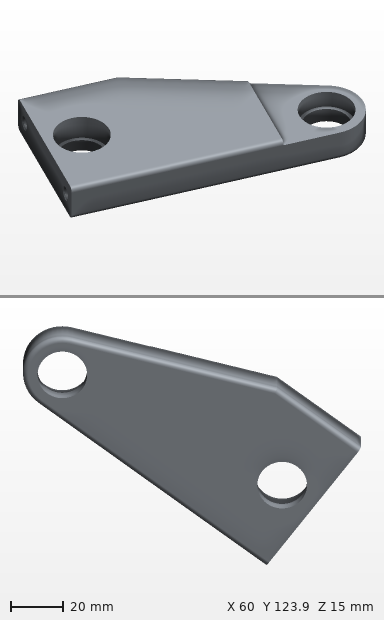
import cadquery as cq
import math

width = 60.0
length = 123.9
thickness = 15.0
straight_length = 40.1
edge_radius = 2.0

lug_radius = 15.0
lug_height = 13.0
step_y = 86.0
lug_inset = 0.1
lug_x = width - lug_inset - lug_radius
lug_y = length - lug_radius

bore_diameter = 19.0
seat_diameter = 22.0
block_seat_floor = 5.0
lug_seat_floor = 6.0
block_bore_y = 15.0

pin_hole_diameter = 5.0
pin_mouth_diameter = 6.0
pin_hole_depth = 12.0
pin_spacing = 46.0
drill_tip_angle = 118.0


def tangent_point(corner_x, side):
    """Lug arc point touched by the line from a shoulder corner; side is 1 for left, -1 for right."""
    dx = lug_x - corner_x
    dy = lug_y - straight_length
    to_lug = math.atan2(dy, dx)
    offset = math.asin(lug_radius / math.hypot(dx, dy))
    normal = to_lug + side * (offset + math.pi / 2)
    return lug_x + lug_radius * math.cos(normal), lug_y + lug_radius * math.sin(normal)


def make_body():
    plate = (
        cq.Workplane("XY")
        .lineTo(width, 0)
        .lineTo(width, straight_length)
        .lineTo(*tangent_point(width, -1))
        .threePointArc((lug_x, length), tangent_point(0, 1))
        .lineTo(0, straight_length)
        .close()
        .extrude(thickness)
    )
    rims = plate.faces("|Z").edges()
    rims = rims.filter(lambda edge: edge.Center().y > edge_radius)
    plate = rims.fillet(edge_radius)
    step = cq.Workplane("XY").box(width, length - step_y, thickness, centered=False)
    return plate.cut(step.translate((0, step_y, lug_height)))


def bearing_hole(x, y, seat_floor):
    bore = cq.Workplane("XY").center(x, y).circle(bore_diameter / 2).extrude(thickness)
    seat = (
        cq.Workplane("XY", origin=(x, y, seat_floor))
        .circle(seat_diameter / 2)
        .extrude(thickness)
    )
    return bore.union(seat)


def pin_hole(x):
    """Drilled hole along Y with a 45 degree mouth and a conical tip."""
    hole_radius = pin_hole_diameter / 2
    mouth_radius = pin_mouth_diameter / 2
    tip_length = hole_radius / math.tan(math.radians(drill_tip_angle / 2))
    profile = (
        cq.Workplane("XY")
        .lineTo(mouth_radius, 0)
        .lineTo(hole_radius, mouth_radius - hole_radius)
        .lineTo(hole_radius, pin_hole_depth)
        .lineTo(0, pin_hole_depth + tip_length)
        .close()
    )
    return profile.revolve(360, (0, 0), (0, 1)).translate((x, 0, thickness / 2))


result = make_body()
result = result.cut(bearing_hole(width / 2, block_bore_y, block_seat_floor))
result = result.cut(bearing_hole(lug_x, lug_y, lug_seat_floor))
for side in (-1, 1):
    result = result.cut(pin_hole(width / 2 + side * pin_spacing / 2))